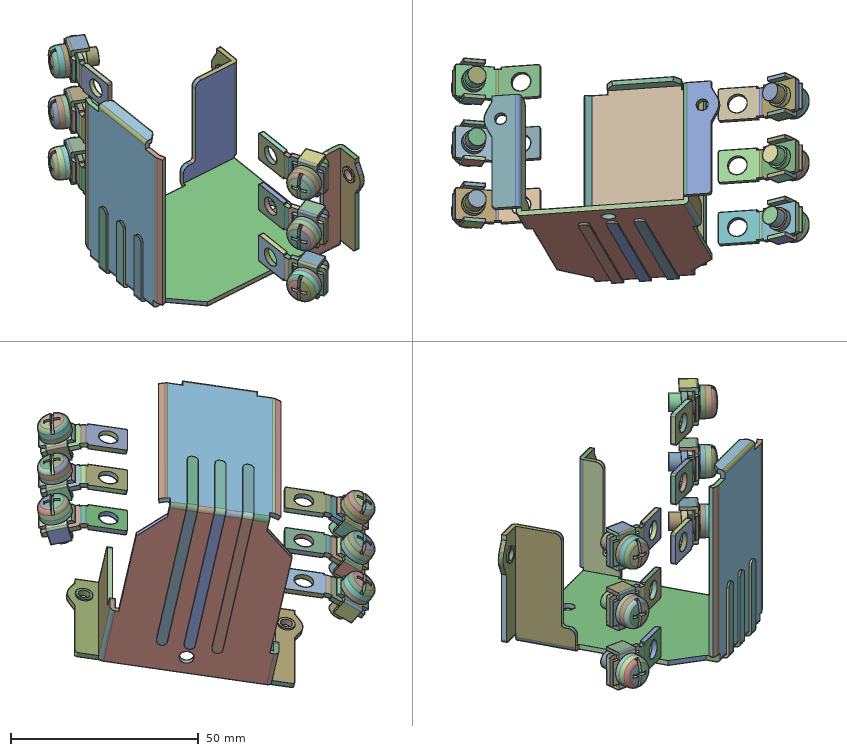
import cadquery as cq
import math

SHEET = 1.4

BRACKET_CENTRE_X = 0.6
WALL_HALF_SPAN = 23.45
BASE_HALF_WIDTH = 21.1
NECK_HALF_WIDTH = 13.5
NECK_LENGTH = 4.1
TAPER_END_Y = 12.1
BASE_BACK_Y = 55.3
BASE_BEND_RADIUS = 1.2
MOUNT_HOLE_DIAMETER = 4.0
MOUNT_HOLE_Y = 50.0

PANEL_HALF_WIDTH = 14.6
PANEL_BOTTOM_Z = 2.7
PANEL_TOP_Z = 52.6
WING_LENGTH = 2.2
WING_ANGLE = 20.0
WING_BEND_RADIUS = 2.1

LIP_HALF_WIDTH = 10.1
LIP_CORNER_Z = 54.9
LIP_LENGTH = 3.9
LIP_BEND_ANGLE = 80.0
LIP_BEND_RADIUS = 1.0
LIP_CORNER_CHAMFER = 1.9

RIB_WIDTH = 3.0
RIB_PITCH = 7.5
RIB_HEIGHT = 0.7
RIB_TOP_Z = 21.5
RIB_BACK_Y = 46.7
RIB_BEND_RADIUS = 1.3
RIB_END_RADIUS = 0.499 * RIB_WIDTH

WALL_TOP_Z = 34.0
WALL_CORNER_RADIUS = 2.1
WALL_INNER_RADIUS = 0.9
WALL_BEND_RADIUS = 1.3
FOOT_TOP_Z = 6.7
LEFT_FOOT_Y = 38.0
LEFT_WALL_Y = 42.0
RIGHT_FOOT_Y = 44.6
RIGHT_WALL_Y = 49.5

FLANGE_WIDTH = 6.3
FLANGE_BOTTOM_Z = 2.2
FLANGE_CORNER_RADIUS = 0.85
LUG_RADIUS = 4.5
LUG_Z = 27.4
LUG_OUT = 4.0
LUG_TANGENT_RISE = 2.1
LUG_BASE_RISE = 5.1
COLLAR_DIAMETER = 4.7
COLLAR_HEIGHT = 0.5
FLANGE_HOLE_DIAMETER = 3.2

TAB_WIDTH = 9.0
TAB_END_X = 22.7
TAB_BEND_X = 34.5
TAB_HOLE_X = 27.9
TAB_HOLE_DIAMETER = 5.3
TAB_CORNER_RADIUS = 0.6
STRIP_ANGLE = 25.0
STRIP_BEND_RADIUS = 1.8
STRIP_NECK_DEPTH = 0.6
STRIP_NECK_START_X = 33.4
STRIP_NECK_END = 0.9

SCREW_OUT = 6.9
STRIP_OVERHANG = 5.1
SHANK_DIAMETER = 5.0
SHANK_TIP = 5.65
THREAD_COLLAR_DIAMETER = 6.1
THREAD_COLLAR_TIP = 2.4
HEAD_DIAMETER = 9.0
HEAD_SEAT = -2.6
HEAD_RIM = -4.05
HEAD_SHOULDER = -5.7
HEAD_SHOULDER_RADIUS = 4.3
HEAD_FACE = -7.0
HEAD_TOP = -7.4
HEAD_FACE_RADIUS = 3.3
SLOT_WIDTH = 0.85
CROSS_SLOT_LENGTH = 4.5

CLAMP_HALF_LENGTH = 2.9
CLAMP_EAR_THICKNESS = 1.0
CLAMP_EAR_TIP = 2.9
CLAMP_PLATE_TOP = -1.2
CLAMP_SEAT = -2.3
CLAMP_BEND_RADIUS = 0.6
TONGUE_WIDTH = 7.2
TONGUE_HALF_LENGTH = 4.9
TONGUE_CHAMFER = 0.8

TERMINALS_PER_SIDE = 3
TERMINAL_PITCH = 17.5
LEFT_TERMINAL_Y = 13.9
LEFT_TERMINAL_Z = 7.6
RIGHT_TERMINAL_Y = 29.2
RIGHT_TERMINAL_Z = 12.4


nearest_to = cq.selectors.NearestToPointSelector


def span_box(x0, x1, y0, y1, z0, z1):
    """Box between two opposite corners."""
    return cq.Workplane("XY").box(x1 - x0, y1 - y0, z1 - z0, centered=False).translate((x0, y0, z0))


def bent_sheet(first, second, angle, corner):
    """Profile of a sheet bent towards its inner side; the outer bend corner is at `corner`."""
    cos, sin = math.cos(math.radians(angle)), math.sin(math.radians(angle))
    setback = SHEET * math.tan(math.radians(angle / 2))
    points = [
        (-first, 0),
        (0, 0),
        (second * cos, second * sin),
        (second * cos - SHEET * sin, second * sin + SHEET * cos),
        (-setback, SHEET),
        (-first, SHEET),
    ]
    return [(corner[0] + x, corner[1] + y) for x, y in points]


def make_base():
    """Flat base plate, tapering to the neck that carries the front panel."""
    left = BRACKET_CENTRE_X - BASE_HALF_WIDTH
    right = BRACKET_CENTRE_X + BASE_HALF_WIDTH
    outline = [
        (-NECK_HALF_WIDTH, 0),
        (NECK_HALF_WIDTH, 0),
        (NECK_HALF_WIDTH, NECK_LENGTH),
        (right, TAPER_END_Y),
        (right, BASE_BACK_Y),
        (left, BASE_BACK_Y),
        (left, TAPER_END_Y),
        (-NECK_HALF_WIDTH, NECK_LENGTH),
    ]
    base = cq.Workplane("XY").polyline(outline).close().extrude(SHEET)
    hole = cq.Workplane("XY").center(0, MOUNT_HOLE_Y).circle(MOUNT_HOLE_DIAMETER / 2).extrude(SHEET)
    return base.cut(hole)


def make_panel():
    """Upright front panel with its two swept-back wings."""
    profile = bent_sheet(PANEL_HALF_WIDTH, WING_LENGTH, WING_ANGLE, (PANEL_HALF_WIDTH, 0))
    half = cq.Workplane("XY").polyline(profile).close().extrude(PANEL_TOP_Z - PANEL_BOTTOM_Z)
    half = half.translate((0, 0, PANEL_BOTTOM_Z))
    mid_z = (PANEL_BOTTOM_Z + PANEL_TOP_Z) / 2
    half = half.edges(nearest_to((PANEL_HALF_WIDTH, 0, mid_z))).fillet(WING_BEND_RADIUS)
    foot = span_box(-NECK_HALF_WIDTH, NECK_HALF_WIDTH, 0, SHEET, 0, PANEL_BOTTOM_Z)
    return half.union(half.mirror("YZ")).union(foot)


def make_lip():
    """Rim at the top of the panel, bent backwards and slightly upwards."""
    profile = bent_sheet(LIP_CORNER_Z - PANEL_TOP_Z, LIP_LENGTH, LIP_BEND_ANGLE, (LIP_CORNER_Z, 0))
    plane = cq.Plane(origin=(-LIP_HALF_WIDTH, 0, 0), xDir=(0, 0, 1), normal=(-1, 0, 0))
    lip = cq.Workplane(plane).polyline(profile).close().extrude(-2 * LIP_HALF_WIDTH)
    outer_bend = nearest_to((0, 0, LIP_CORNER_Z))
    lip = lip.edges(outer_bend).fillet(LIP_BEND_RADIUS)
    bend = math.radians(LIP_BEND_ANGLE)
    tip_y = LIP_LENGTH * math.sin(bend) + SHEET * math.cos(bend)
    for side in (-1, 1):
        corner = [
            (side * LIP_HALF_WIDTH, tip_y),
            (side * (LIP_HALF_WIDTH - LIP_CORNER_CHAMFER), tip_y),
            (side * LIP_HALF_WIDTH, tip_y - LIP_CORNER_CHAMFER),
        ]
        lip = lip.cut(cq.Workplane("XY").polyline(corner).close().extrude(2 * LIP_CORNER_Z))
    return lip


def make_rib(x):
    """Raised L-shaped rib running down the panel and along the underside of the base."""
    rib = span_box(-RIB_WIDTH / 2, RIB_WIDTH / 2, -RIB_HEIGHT, RIB_BACK_Y, -RIB_HEIGHT, RIB_TOP_Z)
    rib = rib.edges("|Y and >Z").fillet(RIB_END_RADIUS)
    rib = rib.edges("|Z and >Y").fillet(RIB_END_RADIUS)
    rib = rib.edges("|X and <Y and <Z").fillet(RIB_BEND_RADIUS)
    inside = span_box(-RIB_WIDTH, RIB_WIDTH, SHEET / 2, 2 * RIB_BACK_Y, SHEET / 2, 2 * RIB_TOP_Z)
    return rib.cut(inside).translate((x, 0, 0))


def make_side(wall_y, foot_y):
    """Right side wall with its outward back flange; wall_y and foot_y are its front edges."""
    outer = BRACKET_CENTRE_X + WALL_HALF_SPAN
    back_y = BASE_BACK_Y + SHEET
    inner = outer - SHEET
    base_edge = BRACKET_CENTRE_X + BASE_HALF_WIDTH
    wall = span_box(inner, outer, wall_y, back_y, 0, WALL_TOP_Z)
    wall = wall.edges("|X and <Y and >Z").fillet(WALL_CORNER_RADIUS)
    foot = span_box(inner, outer, foot_y, back_y, 0, FOOT_TOP_Z)
    foot = foot.edges("|X and <Y and >Z").fillet(WALL_CORNER_RADIUS)
    wall = wall.union(foot)
    inner_corner = nearest_to((inner + SHEET / 2, wall_y, FOOT_TOP_Z))
    wall = wall.edges(inner_corner).fillet(WALL_INNER_RADIUS)
    wall = wall.union(span_box(base_edge - SHEET, inner, foot_y, BASE_BACK_Y, 0, SHEET))
    wall = wall.cut(span_box(0, 2 * outer, BASE_BACK_Y, back_y, 0, FLANGE_BOTTOM_Z))
    wall = wall.edges("|Y and >X and <Z").fillet(WALL_BEND_RADIUS)

    lug_x = outer + LUG_OUT
    edge_x = outer + FLANGE_WIDTH
    arc_x = lug_x + math.sqrt(LUG_RADIUS**2 - LUG_TANGENT_RISE**2)
    flange = (
        cq.Workplane("XZ", origin=(0, back_y, 0))
        .moveTo(inner, FLANGE_BOTTOM_Z)
        .lineTo(edge_x, FLANGE_BOTTOM_Z)
        .lineTo(edge_x, LUG_Z - LUG_BASE_RISE)
        .lineTo(arc_x, LUG_Z - LUG_TANGENT_RISE)
        .threePointArc((lug_x + LUG_RADIUS, LUG_Z), (arc_x, LUG_Z + LUG_TANGENT_RISE))
        .lineTo(edge_x, LUG_Z + LUG_BASE_RISE)
        .lineTo(edge_x, WALL_TOP_Z)
        .lineTo(inner, WALL_TOP_Z)
        .close()
        .extrude(SHEET)
    )
    lower_corner = nearest_to((edge_x, back_y - SHEET / 2, FLANGE_BOTTOM_Z))
    flange = flange.edges(lower_corner).fillet(FLANGE_CORNER_RADIUS)
    lug = cq.Workplane("XZ", origin=(lug_x, back_y, LUG_Z))
    collar = lug.circle(COLLAR_DIAMETER / 2).extrude(SHEET + COLLAR_HEIGHT)
    hole = lug.circle(FLANGE_HOLE_DIAMETER / 2).extrude(SHEET + COLLAR_HEIGHT)
    side = wall.union(flange).union(collar).cut(hole)
    vertical_bend = nearest_to((inner, back_y, WALL_TOP_Z / 2))
    return side.edges(vertical_bend).fillet(WALL_BEND_RADIUS)


def make_bracket():
    """One folded sheet: base, front panel, lip, two side walls and three ribs."""
    bracket = make_base().union(make_panel())
    bracket = bracket.edges("|X and <Y and <Z").fillet(BASE_BEND_RADIUS)
    bracket = bracket.union(make_lip())
    bracket = bracket.union(make_side(RIGHT_WALL_Y, RIGHT_FOOT_Y))
    left_side = make_side(LEFT_WALL_Y, LEFT_FOOT_Y)
    left_side = left_side.mirror("YZ", (BRACKET_CENTRE_X, 0, 0))
    bracket = bracket.union(left_side)
    for index in (-1, 0, 1):
        bracket = bracket.union(make_rib(index * RIB_PITCH))
    return bracket


def make_screw():
    """Pan-head screw along Y, with its threaded collar; the head points to -Y."""
    dome_middle = (HEAD_FACE_RADIUS / 2, HEAD_TOP + (HEAD_FACE - HEAD_TOP) / 4)
    profile = (
        cq.Workplane("XY")
        .moveTo(0, SHANK_TIP)
        .lineTo(SHANK_DIAMETER / 2, SHANK_TIP)
        .lineTo(SHANK_DIAMETER / 2, THREAD_COLLAR_TIP)
        .lineTo(THREAD_COLLAR_DIAMETER / 2, THREAD_COLLAR_TIP)
        .lineTo(THREAD_COLLAR_DIAMETER / 2, HEAD_SEAT)
        .lineTo(HEAD_DIAMETER / 2, HEAD_SEAT)
        .lineTo(HEAD_DIAMETER / 2, HEAD_RIM)
        .tangentArcPoint((HEAD_SHOULDER_RADIUS, HEAD_SHOULDER), relative=False)
        .tangentArcPoint((HEAD_FACE_RADIUS, HEAD_FACE), relative=False)
        .threePointArc(dome_middle, (0, HEAD_TOP))
        .close()
    )
    screw = profile.revolve(360, (0, 0, 0), (0, 1, 0))
    slot_depth = HEAD_SHOULDER - HEAD_TOP
    slot_y = (HEAD_SHOULDER + HEAD_TOP) / 2
    slot = cq.Workplane("XY").box(SLOT_WIDTH, slot_depth, HEAD_DIAMETER).translate((0, slot_y, 0))
    cross = cq.Workplane("XY").box(CROSS_SLOT_LENGTH, slot_depth, SLOT_WIDTH).translate((0, slot_y, 0))
    return screw.cut(slot).cut(cross)


def make_clamp():
    """Saddle washer under the screw head: a plate, two tongues and two ears astride the strip."""
    half_height = TAB_WIDTH / 2 + CLAMP_EAR_THICKNESS
    length = CLAMP_HALF_LENGTH
    gap = TAB_WIDTH / 2
    saddle = span_box(-length, length, CLAMP_SEAT, CLAMP_EAR_TIP, -half_height, half_height)
    saddle = saddle.edges("|X and <Y").fillet(CLAMP_BEND_RADIUS)
    channel = span_box(-length, length, CLAMP_PLATE_TOP, CLAMP_EAR_TIP, -gap, gap)
    reach = TONGUE_HALF_LENGTH
    tongues = span_box(-reach, reach, CLAMP_SEAT, CLAMP_PLATE_TOP, -TONGUE_WIDTH / 2, TONGUE_WIDTH / 2)
    tongues = tongues.edges("(<X and <Y) or (>X and >Y)").chamfer(TONGUE_CHAMFER)
    return saddle.cut(channel).union(tongues)


def tilt(body):
    """Move a body from the tilted strip's own axes, with the bend as origin, into place."""
    return body.rotate((0, 0, 0), (0, 0, 1), STRIP_ANGLE).translate((TAB_BEND_X, 0, 0))


def make_terminal():
    """Right-hand terminal, centred on Y = 0 and Z = 0."""
    half = TAB_WIDTH / 2
    strip_length = SCREW_OUT + STRIP_OVERHANG
    bend_shift = SHEET / 2 * math.tan(math.radians(STRIP_ANGLE / 2))
    corner = (TAB_BEND_X + bend_shift, -SHEET / 2)
    profile = bent_sheet(corner[0] - TAB_END_X, strip_length - bend_shift, STRIP_ANGLE, corner)
    strip = cq.Workplane("XY").polyline(profile).close().extrude(half, both=True)
    inner_bend = nearest_to((TAB_BEND_X - bend_shift, SHEET / 2, 0))
    strip = strip.edges(inner_bend).fillet(STRIP_BEND_RADIUS)
    outer_bend = nearest_to((*corner, 0))
    strip = strip.edges(outer_bend).fillet(STRIP_BEND_RADIUS + SHEET)
    end_edges = strip.faces("<X").edges("|Y").add(strip.faces(">X").edges("not |Z"))
    strip = strip.newObject(end_edges.vals()).fillet(TAB_CORNER_RADIUS)
    hole = cq.Workplane("XZ", origin=(TAB_HOLE_X, SHEET, 0)).circle(TAB_HOLE_DIAMETER / 2)
    strip = strip.cut(hole.extrude(2 * SHEET))
    for side in (-1, 1):
        half_depth = STRIP_NECK_DEPTH / 2
        notch_z = side * (half - half_depth)
        flat = span_box(STRIP_NECK_START_X, TAB_BEND_X, -SHEET, SHEET, -half_depth, half_depth)
        tilted = tilt(span_box(-STRIP_NECK_END, STRIP_NECK_END, -SHEET, SHEET, -half_depth, half_depth))
        strip = strip.cut(flat.union(tilted).translate((0, 0, notch_z)))
    screw_and_clamp = make_clamp().union(make_screw()).translate((SCREW_OUT, 0, 0))
    return strip.union(tilt(screw_and_clamp))


bracket = make_bracket()

right_terminal = make_terminal()
left_terminal = right_terminal.mirror("YZ")
terminals = []
for index in range(TERMINALS_PER_SIDE):
    rise = index * TERMINAL_PITCH
    terminals.append(left_terminal.translate((0, LEFT_TERMINAL_Y, LEFT_TERMINAL_Z + rise)))
    terminals.append(right_terminal.translate((0, RIGHT_TERMINAL_Y, RIGHT_TERMINAL_Z + rise)))

result = cq.Compound.makeCompound([bracket.val(), *[terminal.val() for terminal in terminals]])